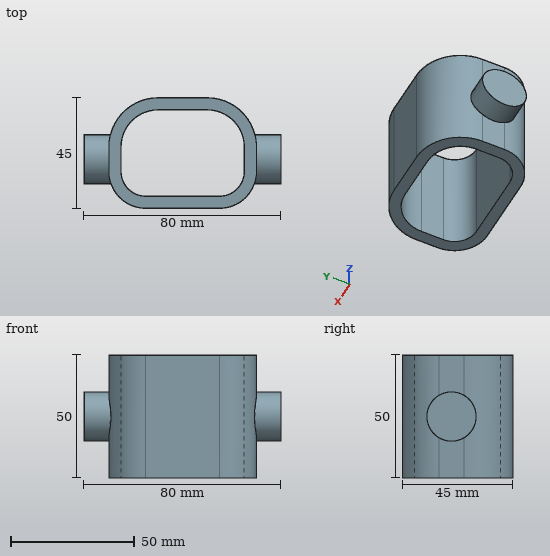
import cadquery as cq

overall_length = 80.0
body_length = 60.0
bore_length = 50.0
body_height = 50.0
front_flat = 30.0
side_flat = 10.0
back_radius = 20.0
pin_diameter = 20.0

front_radius = (body_length - front_flat) / 2
body_width = front_radius + side_flat + back_radius
wall = (body_length - bore_length) / 2
pin_y = -body_width / 2 + front_radius + side_flat / 2


def rounded_block(inset):
    """Upright block, inset from the outer wall, with corner arcs concentric to it."""
    return (
        cq.Workplane("XY")
        .box(body_length - 2 * inset, body_width - 2 * inset, body_height)
        .edges("|Z and <Y")
        .fillet(front_radius - inset)
        .edges("|Z and >Y")
        .fillet(back_radius - inset)
    )


pin_bar = (
    cq.Workplane("YZ")
    .center(pin_y, 0)
    .circle(pin_diameter / 2)
    .extrude(overall_length / 2, both=True)
)

result = rounded_block(0).union(pin_bar).cut(rounded_block(wall))